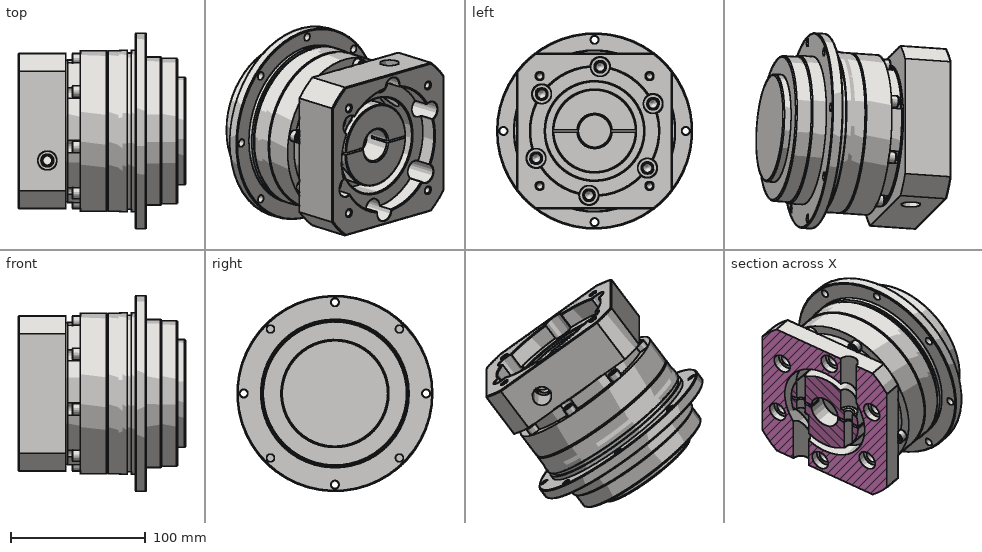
import cadquery as cq
import math


PLATE_LENGTH = 35.3
PLATE_WIDTH = 115.0
PLATE_CORNER_RADIUS = 72.5
EDGE_CHAMFER = 0.7
PILOT_RADIUS = 47.5
PILOT_DEPTH = 12.5
PLATE_BORE_RADIUS = 36.5

MOTOR_HOLE_CIRCLE_RADIUS = 57.5
MOTOR_HOLE_COUNT = 4
MOTOR_HOLE_RADIUS = 2.5
MOTOR_HOLE_RIM_RADIUS = 3.2
MOTOR_HOLE_DEPTH = 18.0

MOUNT_CIRCLE_RADIUS = 47.7
MOUNT_COUNT = 6
MOUNT_FIRST_ANGLE = 35.0
MOUNT_HEAD_RADIUS = 7.1
MOUNT_HEAD_DEPTH = 27.0
MOUNT_CLEARANCE_RADIUS = 4.5
MOUNT_THREAD_RADIUS = 3.5
MOUNT_THREAD_DEPTH = 16.0
MOUNT_RIM_CHAMFER = 0.3

HUB_FRONT_X = 13.5
HUB_RADIUS = 31.0
HUB_BORE_RADIUS = 12.0
HUB_BORE_CHAMFER = 1.0
HUB_SLOT_WIDTH = 1.5
HUB_SLOT_DEPTH = 17.0
CLAMP_X = 21.5
CLAMP_OFFSET = 21.8
CLAMP_ACCESS_RADIUS = 7.0
CLAMP_SEAT_HEIGHT = 10.0
CLAMP_HOLE_RADIUS = 3.5
CLAMP_RIM_RADIUS = 4.7

COLLAR_RADIUS = 52.9
SPIGOT_RADIUS = 52.5
BODY_RADIUS = 59.5
SEAL_LAND_RADIUS = 60.0
SEAL_GROOVE_RADIUS = 58.0
FLANGE_RADIUS = PLATE_CORNER_RADIUS
PILOT_STEP_RADIUS = 55.0
NOSE_RADIUS = 54.0
OUTPUT_RADIUS = 40.0

BODY_START_X = 45.9
JOINT_X = 65.9
JOINT_CHAMFER = 0.6
TAPER_START_X = 74.1
TAPER_END_X = 77.1
SEAL_GROOVE_START_X = 80.7
SEAL_GROOVE_END_X = 83.7
FLANGE_START_X = 86.7
FLANGE_END_X = 94.9
PILOT_STEP_END_X = 105.7
NOSE_END_X = 118.0
OUTPUT_END_X = 124.0
SMALL_CHAMFER = 0.5
OUTPUT_CHAMFER = 1.0

FLANGE_HOLE_CIRCLE_RADIUS = 67.5
FLANGE_HOLE_COUNT = 8
FLANGE_HOLE_RADIUS = 2.9

SCREW_CIRCLE_RADIUS = 54.5
SCREW_COUNT = 8
SCREW_FIRST_ANGLE = 12.5
SCREW_HEAD_RADIUS = 4.25
SCREW_HEAD_LENGTH = 6.0
SCREW_HEAD_CHAMFER = 0.6
SCREW_SOCKET_WIDTH = 4.0
SCREW_SOCKET_DEPTH = 3.0
SCALLOP_RADIUS = 5.0
SCALLOP_START_X = 36.6

DRILL_TIP_HALF_ANGLE = math.radians(59.0)


def revolve_about_x(profile):
    """Solid of revolution from (x, radius) points."""
    return cq.Workplane("XY").polyline(profile).close().revolve(360, (0, 0, 0), (1, 0, 0))


def cylinder_x(radius, start_x, end_x):
    return cq.Workplane("YZ").workplane(offset=start_x).circle(radius).extrude(end_x - start_x)


def ring_positions(circle_radius, count, first_angle):
    """(y, z) points evenly spaced on a circle about the X axis, angles measured from +Y."""
    angles = [math.radians(first_angle + i * 360.0 / count) for i in range(count)]
    return [(circle_radius * math.cos(a), circle_radius * math.sin(a)) for a in angles]


def tapped_hole(radius, rim_radius, start_x, depth):
    """Countersunk blind hole along +X with a conical drill tip."""
    tip_length = radius / math.tan(DRILL_TIP_HALF_ANGLE)
    countersink_depth = rim_radius - radius
    return revolve_about_x([
        (start_x, 0),
        (start_x, rim_radius),
        (start_x + countersink_depth, radius),
        (start_x + depth, radius),
        (start_x + depth + tip_length, 0),
    ])


def chamfered_bore(radius, chamfer, start_x, end_x):
    """Bore along +X whose rim at start_x is chamfered."""
    return revolve_about_x([
        (start_x, 0),
        (start_x, radius + chamfer),
        (start_x + chamfer, radius),
        (end_x, radius),
        (end_x, 0),
    ])


def cut_at(body, tool, positions):
    """Cut a copy of an on-axis tool at each (y, z) position."""
    for y, z in positions:
        body = body.cut(tool.translate((0, y, z)))
    return body


mount_positions = ring_positions(MOUNT_CIRCLE_RADIUS, MOUNT_COUNT, MOUNT_FIRST_ANGLE)


def make_adapter_plate():
    plate = (
        cq.Workplane("YZ")
        .rect(PLATE_WIDTH, PLATE_WIDTH)
        .extrude(PLATE_LENGTH)
        .intersect(cylinder_x(PLATE_CORNER_RADIUS, 0, PLATE_LENGTH))
        .faces("<X")
        .chamfer(EDGE_CHAMFER)
    )
    plate = plate.cut(chamfered_bore(PILOT_RADIUS, EDGE_CHAMFER, 0, PILOT_DEPTH))
    plate = plate.cut(chamfered_bore(PLATE_BORE_RADIUS, EDGE_CHAMFER, PILOT_DEPTH, PLATE_LENGTH))

    motor_hole = tapped_hole(MOTOR_HOLE_RADIUS, MOTOR_HOLE_RIM_RADIUS, 0, MOTOR_HOLE_DEPTH)
    plate = cut_at(plate, motor_hole, ring_positions(MOTOR_HOLE_CIRCLE_RADIUS, MOTOR_HOLE_COUNT, 45.0))

    mount_hole = chamfered_bore(MOUNT_HEAD_RADIUS, MOUNT_RIM_CHAMFER, 0, MOUNT_HEAD_DEPTH).union(
        cylinder_x(MOUNT_CLEARANCE_RADIUS, 0, PLATE_LENGTH)
    )
    plate = cut_at(plate, mount_hole, mount_positions)

    for side in (1, -1):
        access = (
            cq.Workplane("XY", origin=(CLAMP_X, -side * CLAMP_OFFSET, 0))
            .circle(CLAMP_ACCESS_RADIUS)
            .extrude(side * PLATE_WIDTH / 2)
        )
        plate = plate.cut(access)
    return plate


def make_clamp_hub():
    hub = cylinder_x(HUB_RADIUS, HUB_FRONT_X, PLATE_LENGTH).faces("<X").chamfer(EDGE_CHAMFER)
    hub = hub.cut(chamfered_bore(HUB_BORE_RADIUS, HUB_BORE_CHAMFER, HUB_FRONT_X, PLATE_LENGTH))

    slot_mid_x = HUB_FRONT_X + HUB_SLOT_DEPTH / 2
    slot = cq.Workplane("XY").box(HUB_SLOT_DEPTH, 2 * HUB_RADIUS, HUB_SLOT_WIDTH)
    hub = hub.cut(slot.translate((slot_mid_x, 0, 0)))

    for turn in (0, 180):
        screw_hole = (
            cq.Workplane("XZ")
            .polyline([
                (0, -HUB_RADIUS),
                (CLAMP_HOLE_RADIUS, -HUB_RADIUS),
                (CLAMP_HOLE_RADIUS, CLAMP_SEAT_HEIGHT - (CLAMP_RIM_RADIUS - CLAMP_HOLE_RADIUS)),
                (CLAMP_RIM_RADIUS, CLAMP_SEAT_HEIGHT),
                (CLAMP_ACCESS_RADIUS, CLAMP_SEAT_HEIGHT),
                (CLAMP_ACCESS_RADIUS, HUB_RADIUS),
                (0, HUB_RADIUS),
            ])
            .close()
            .revolve(360, (0, 0, 0), (0, 1, 0))
            .translate((CLAMP_X, -CLAMP_OFFSET, 0))
            .rotate((0, 0, 0), (1, 0, 0), turn)
        )
        hub = hub.cut(screw_hole)
    return hub


def make_cap_screw_head():
    """Socket head on the X axis, seated on the housing barrel."""
    head_front_x = BODY_START_X - SCREW_HEAD_LENGTH
    head = cylinder_x(SCREW_HEAD_RADIUS, head_front_x, BODY_START_X)
    socket_diameter = SCREW_SOCKET_WIDTH / math.cos(math.pi / 6)
    socket = (
        cq.Workplane("YZ")
        .workplane(offset=head_front_x)
        .polygon(6, socket_diameter)
        .extrude(SCREW_SOCKET_DEPTH)
    )
    return head.faces("<X").chamfer(SCREW_HEAD_CHAMFER).cut(socket)


def make_housing():
    housing = revolve_about_x([
        (PLATE_LENGTH, 0),
        (PLATE_LENGTH, SPIGOT_RADIUS),
        (SCALLOP_START_X, SPIGOT_RADIUS),
        (SCALLOP_START_X, COLLAR_RADIUS),
        (BODY_START_X, COLLAR_RADIUS),
        (BODY_START_X, BODY_RADIUS),
        (JOINT_X - JOINT_CHAMFER, BODY_RADIUS),
        (JOINT_X, BODY_RADIUS - JOINT_CHAMFER),
        (JOINT_X + JOINT_CHAMFER, BODY_RADIUS),
        (TAPER_START_X, BODY_RADIUS),
        (TAPER_END_X, SEAL_LAND_RADIUS),
        (SEAL_GROOVE_START_X, SEAL_LAND_RADIUS),
        (SEAL_GROOVE_START_X, SEAL_GROOVE_RADIUS),
        (SEAL_GROOVE_END_X, SEAL_GROOVE_RADIUS),
        (SEAL_GROOVE_END_X, SEAL_LAND_RADIUS),
        (FLANGE_START_X, SEAL_LAND_RADIUS),
        (FLANGE_START_X, FLANGE_RADIUS - EDGE_CHAMFER),
        (FLANGE_START_X + EDGE_CHAMFER, FLANGE_RADIUS),
        (FLANGE_END_X - EDGE_CHAMFER, FLANGE_RADIUS),
        (FLANGE_END_X, FLANGE_RADIUS - EDGE_CHAMFER),
        (FLANGE_END_X, PILOT_STEP_RADIUS),
        (PILOT_STEP_END_X - SMALL_CHAMFER, PILOT_STEP_RADIUS),
        (PILOT_STEP_END_X + SMALL_CHAMFER, NOSE_RADIUS),
        (NOSE_END_X - OUTPUT_CHAMFER, NOSE_RADIUS),
        (NOSE_END_X, NOSE_RADIUS - OUTPUT_CHAMFER),
        (NOSE_END_X, OUTPUT_RADIUS),
        (OUTPUT_END_X - OUTPUT_CHAMFER, OUTPUT_RADIUS),
        (OUTPUT_END_X, OUTPUT_RADIUS - OUTPUT_CHAMFER),
        (OUTPUT_END_X, 0),
    ])

    flange_hole = cylinder_x(FLANGE_HOLE_RADIUS, FLANGE_START_X, FLANGE_END_X)
    flange_positions = ring_positions(FLANGE_HOLE_CIRCLE_RADIUS, FLANGE_HOLE_COUNT, 0)
    housing = cut_at(housing, flange_hole, flange_positions)

    mount_thread = tapped_hole(
        MOUNT_THREAD_RADIUS, MOUNT_CLEARANCE_RADIUS, PLATE_LENGTH, MOUNT_THREAD_DEPTH
    )
    housing = cut_at(housing, mount_thread, mount_positions)

    screw_positions = ring_positions(SCREW_CIRCLE_RADIUS, SCREW_COUNT, SCREW_FIRST_ANGLE)
    scallop = cylinder_x(SCALLOP_RADIUS, SCALLOP_START_X, BODY_START_X)
    housing = cut_at(housing, scallop, screw_positions)
    screw_head = make_cap_screw_head()
    for y, z in screw_positions:
        housing = housing.union(screw_head.translate((0, y, z)))
    return housing


adapter_plate = make_adapter_plate()
clamp_hub = make_clamp_hub()
housing = make_housing()

result = cq.Compound.makeCompound([adapter_plate.val(), clamp_hub.val(), housing.val()])